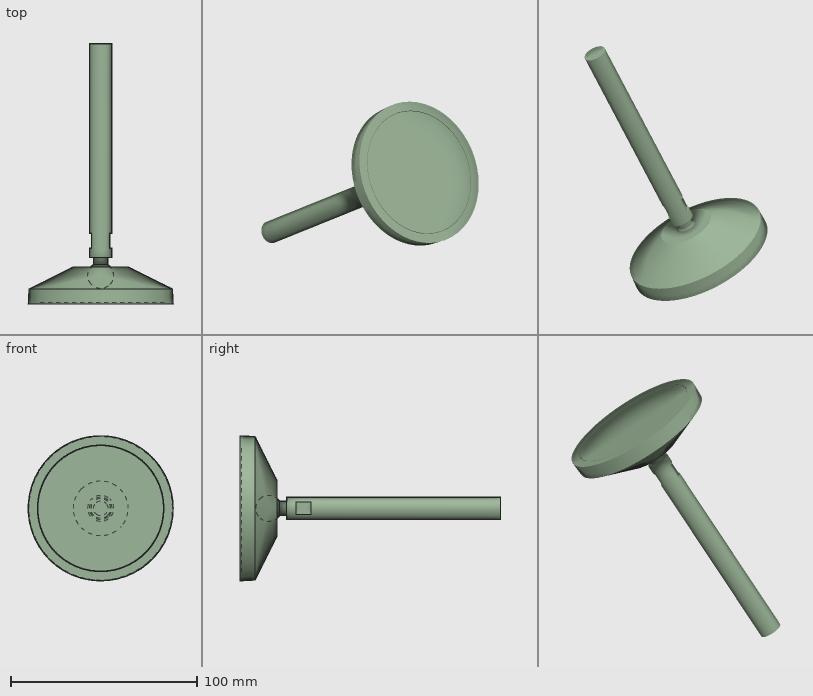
import cadquery as cq
import math

rim_diameter = 78.0
rim_top_diameter = 77.1
rim_height = 8.1
foot_top_diameter = 29.4
foot_height = 20.0

groove_outer_diameter = 68.0
groove_inner_diameter = 67.5
groove_depth = 1.0

overall_length = 140.0
shank_diameter = 12.0
shank_start = 25.0
neck_diameter = 7.8
ball_radius = 7.0
neck_start = 21.3

flats_start = 30.1
flats_length = 8.0
across_flats = 10.0

ball_center = neck_start - math.sqrt(ball_radius**2 - (neck_diameter / 2) ** 2)


def cylinder(diameter, start, length):
    """Cylinder on the Y axis, running from start toward +Y."""
    plane = cq.Workplane("XZ", origin=(0, start, 0))
    return plane.circle(diameter / 2).extrude(-length)


def make_ball():
    return cq.Workplane("XY").sphere(ball_radius).translate((0, ball_center, 0))


def make_foot():
    profile = [
        (0, 0),
        (rim_diameter / 2, 0),
        (rim_top_diameter / 2, rim_height),
        (foot_top_diameter / 2, foot_height),
        (0, foot_height),
    ]
    plate = cq.Workplane("XY").polyline(profile).close().revolve(360, (0, 0, 0), (0, 1, 0))
    groove = cylinder(groove_outer_diameter, 0, groove_depth).cut(
        cylinder(groove_inner_diameter, 0, groove_depth)
    )
    return plate.cut(groove).cut(make_ball())


def cut_wrench_flats(body):
    flat_depth = (shank_diameter - across_flats) / 2
    flat_offset = (across_flats + flat_depth) / 2
    for side in (-1, 1):
        cutter = cq.Workplane("XY").box(flat_depth, flats_length, shank_diameter)
        body = body.cut(cutter.translate((side * flat_offset, flats_start + flats_length / 2, 0)))
    return body


def make_spindle():
    shank = cylinder(shank_diameter, shank_start, overall_length - shank_start)
    neck = cylinder(neck_diameter, ball_center, shank_start - ball_center)
    return cut_wrench_flats(shank).union(neck).union(make_ball())


foot = make_foot()
spindle = make_spindle()

result = cq.Compound.makeCompound([foot.val(), spindle.val()])